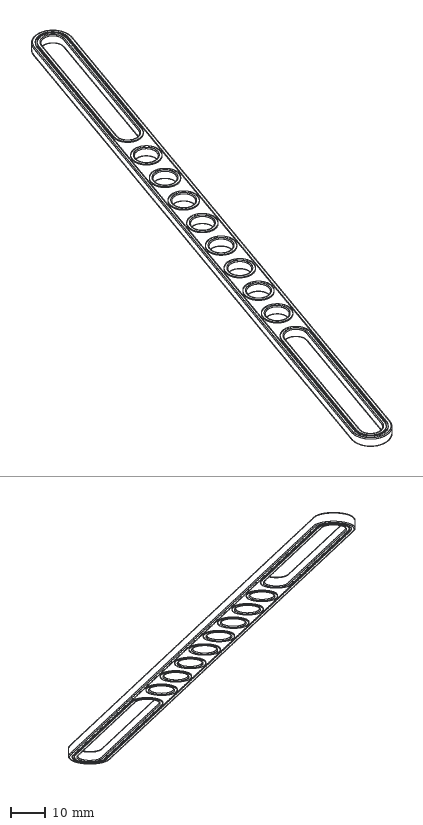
import cadquery as cq

pitch = 12.5
length_in_pitches = 18
length = length_in_pitches * pitch
width = pitch
thickness = 3.12
web_thickness = 2.5
edge_chamfer = 0.3

opening_width = 7.0
rim_outer_width = 9.2
rim_wall = (rim_outer_width - opening_width) / 2
recess_depth = (thickness - web_thickness) / 2

hole_count = 8
hole_row_length = (hole_count - 1) * pitch
hole_points = [(i * pitch - hole_row_length / 2, 0) for i in range(hole_count)]

slot_inner_center = hole_row_length / 2 + pitch
slot_outer_center = (length - width) / 2
slot_center_distance = slot_outer_center - slot_inner_center
slot_middle = (slot_inner_center + slot_outer_center) / 2
slot_points = [(-slot_middle, 0), (slot_middle, 0)]


def make_bar(bar_width, height):
    """Round-ended bar centred on the origin, sharing the end-arc centres of the full bar."""
    bar_length = 2 * slot_outer_center + bar_width
    return cq.Workplane("XY").slot2D(bar_length, bar_width).extrude(height / 2, both=True)


def cut_holes_and_slots(body, opening):
    """Cut the hole row and both slots, with the given opening width, right through a body."""
    holes = cq.Workplane("XY").pushPoints(hole_points).circle(opening / 2)
    slots = cq.Workplane("XY").pushPoints(slot_points).slot2D(slot_center_distance + opening, opening)
    body = body.cut(holes.extrude(thickness, both=True))
    return body.cut(slots.extrude(thickness, both=True))


def make_plate():
    """Full-thickness bar with its openings; all edges of both flat faces are chamfered."""
    plate = cut_holes_and_slots(make_bar(width, thickness), opening_width)
    return plate.faces("|Z").edges().chamfer(edge_chamfer)


def cut_recesses(plate):
    """Sink both faces to the web, leaving a raised rim along the outline and each opening."""
    recess = cut_holes_and_slots(make_bar(width - 2 * rim_wall, recess_depth), rim_outer_width)
    recess_middle = (thickness - recess_depth) / 2
    for side in (-1, 1):
        plate = plate.cut(recess.translate((0, 0, side * recess_middle)))
    return plate


result = cut_recesses(make_plate())